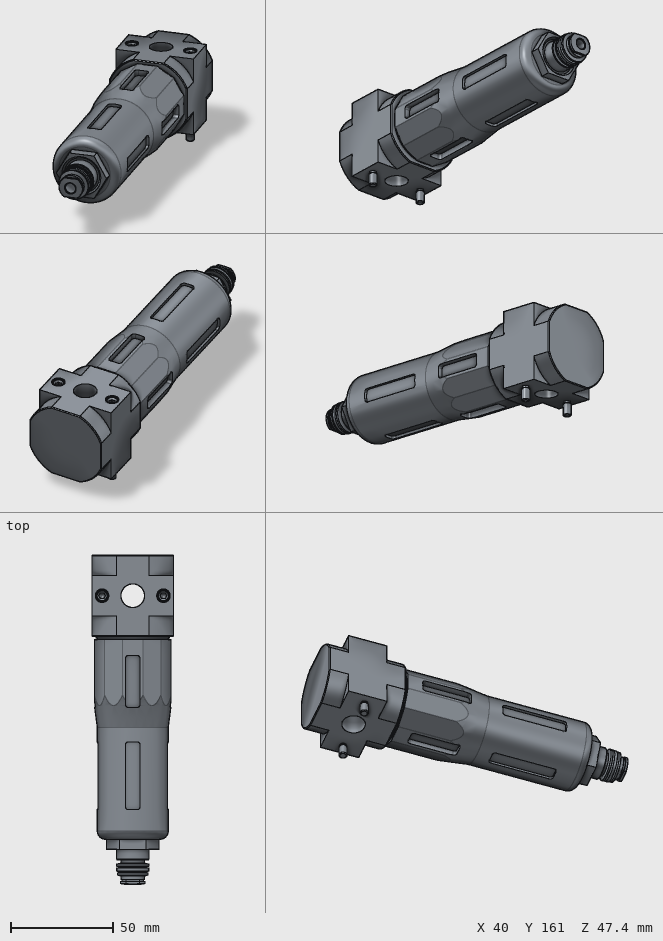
import cadquery as cq
import math


head_size = 40.0
head_half = head_size / 2
arm_half_length = 10.0
arm_half_width = 7.9
head_chamfer = 0.5
port_diameter = 11.5
lip_diameter = 36.0
lip_length = 0.6

screw_spacing = 30.0
counterbore_diameter = 6.0
counterbore_chamfer = 0.3
screw_head_diameter = 5.2
screw_head_height = 4.0
screw_head_drop = 0.5
shank_diameter = 3.2
thread_diameter = 4.0
thread_gap = 1.1
screw_tip_drop = 7.4
screw_tip_chamfer = 0.5
countersink_diameter = 4.8
socket_across_flats = 2.9
socket_depth = 2.3
socket_point_depth = 0.8

neck_diameter = 34.8
grip_sides = 12
grip_across_flats = 37.5
grip_corner_diameter = 38.8
bowl_diameter = 34.8
bowl_edge_radius = 4.2
neck_start = -(head_half + lip_length)
grip_start = -21.4
taper_start = -48.6
taper_end = -64.2
bowl_end = -119.0

window_count = 4
window_width = 7.1
window_floor_diameter = 31.9
window_corner_radius = 1.5
grip_window_start = -29.1
grip_window_end = -54.6
bowl_window_start = -71.3
bowl_window_end = -104.5

hex_across_flats = 22.4
hex_end = -123.8
recess_outer_diameter = 20.0
recess_floor_diameter = 18.0
recess_depth = 1.0
collar_diameter = 16.0
collar_end = -129.0
collar_chamfer = 0.3
core_diameter = 11.6
core_end = -138.5
ring_flank_length = 0.5
rings = [(-131.0, -132.0, 16.0), (-133.0, -134.5, 15.8), (-135.4, -136.4, 15.1)]
tip_neck_diameter = 10.6
tip_neck_flats = 8.4
tip_neck_end = -139.5
tip_diameter = 12.0
tip_flats = 10.0
tip_cone_rise = 0.5
overall_length = 161
drain_end = head_half - overall_length
drain_bore_diameter = 5.2
drain_mouth_diameter = 6.0
drain_bore_depth = 9.7


def disc(diameter, start, end):
    """Cylinder along Y, running from start towards -Y."""
    plane = cq.Workplane("XZ", origin=(0, start, 0))
    return plane.circle(diameter / 2).extrude(start - end)


def polygon_bar(sides, across_flats, start, end):
    """Regular prism along Y that has flats facing +Z and -Z."""
    across_corners = across_flats / math.cos(math.pi / sides)
    plane = cq.Workplane("XZ", origin=(0, start, 0))
    if sides % 4 == 0:
        plane = plane.transformed(rotate=(0, 0, 180 / sides))
    return plane.polygon(sides, across_corners).extrude(start - end)


def add_flats(body, across_flats):
    """Cut two flats facing +Z and -Z into a body around the Y axis."""
    slab = cq.Workplane("XY").box(head_size, 2 * overall_length, across_flats)
    return body.intersect(slab)


def make_screw_hole():
    """Counterbored hole on the Z axis that matches a screw."""
    shank = cq.Workplane("XY").circle(shank_diameter / 2).extrude(head_size)
    depth = screw_head_drop + screw_head_height
    bore = cq.Workplane("XY").circle(counterbore_diameter / 2).extrude(depth)
    mouth_radius = counterbore_diameter / 2 + counterbore_chamfer
    mouth = cq.Solid.makeCone(mouth_radius - counterbore_chamfer, mouth_radius, counterbore_chamfer,
                              pnt=cq.Vector(0, 0, head_size - counterbore_chamfer))
    hole = shank.union(bore.translate((0, 0, head_size - depth))).union(cq.Workplane(mouth))
    return hole.translate((0, 0, -head_half))


def make_head(screw_places):
    corner_diameter = 2 * math.hypot(head_half, arm_half_width)
    end_block = cq.Workplane("XY").box(head_size, head_size, head_size)
    round_bar = disc(corner_diameter, head_half, -head_half)
    end_block = end_block.intersect(round_bar).faces("<Y or >Y").chamfer(head_chamfer)
    arms = cq.Workplane("XY").box(head_size, 2 * arm_half_length, head_size)
    lip = disc(lip_diameter, -head_half, neck_start)
    port = cq.Workplane("XY").circle(port_diameter / 2).extrude(head_half, both=True)
    head = end_block.union(arms).union(lip).cut(port)
    for x in screw_places:
        head = head.cut(make_screw_hole().translate((x, 0, 0)))
    return head


def make_screw():
    """Socket screw on the Z axis with its head up."""
    head_top = head_half - screw_head_drop
    head_bottom = head_top - screw_head_height
    thread_top = -head_half - thread_gap
    tip = -head_half - screw_tip_drop
    outline = [
        (0, head_top),
        (screw_head_diameter / 2, head_top),
        (screw_head_diameter / 2, head_bottom),
        (shank_diameter / 2, head_bottom),
        (shank_diameter / 2, thread_top),
        (thread_diameter / 2, thread_top),
        (thread_diameter / 2, tip + screw_tip_chamfer),
        (thread_diameter / 2 - screw_tip_chamfer, tip),
        (0, tip),
    ]
    screw = cq.Workplane("XZ").polyline(outline).close().revolve(360, (0, 0, 0), (0, 1, 0))

    across_corners = socket_across_flats / math.cos(math.pi / 6)
    socket_floor = head_top - socket_depth
    socket_plane = cq.Workplane("XY", origin=(0, 0, socket_floor))
    socket = socket_plane.polygon(6, across_corners).extrude(socket_depth)
    countersink_radius = countersink_diameter / 2
    point_radius = socket_across_flats / 2
    countersink = cq.Solid.makeCone(0, countersink_radius, countersink_radius,
                                    pnt=cq.Vector(0, 0, head_top - countersink_radius))
    point = cq.Solid.makeCone(0, point_radius, socket_point_depth,
                              pnt=cq.Vector(0, 0, socket_floor - socket_point_depth))
    return screw.cut(socket).cut(cq.Workplane(countersink)).cut(cq.Workplane(point))


def make_grip_and_bowl():
    turned = (
        cq.Workplane("XY")
        .moveTo(0, grip_start)
        .lineTo(grip_corner_diameter / 2, grip_start)
        .lineTo(grip_corner_diameter / 2, taper_start)
        .lineTo(bowl_diameter / 2, taper_end)
        .lineTo(bowl_diameter / 2, bowl_end)
        .lineTo(0, bowl_end)
        .close()
        .revolve(360, (0, 0, 0), (0, 1, 0))
        .faces("<Y").edges().fillet(bowl_edge_radius)
    )
    return turned.intersect(polygon_bar(grip_sides, grip_across_flats, grip_start, bowl_end))


def make_window(start, end):
    """Rounded rectangular cutter on the +Z side that leaves a cylindrical floor."""
    cutter = (
        cq.Workplane("XY")
        .rect(window_width, start - end)
        .extrude(head_half)
        .edges("|Z").fillet(window_corner_radius)
        .translate((0, (start + end) / 2, 0))
    )
    return cutter.cut(disc(window_floor_diameter, start, end))


def make_ring(start, end, diameter):
    """Ring around the drain core with a cylindrical crest and sloped flanks."""
    core_radius = core_diameter / 2
    crest_radius = diameter / 2
    outline = [
        (0, start + ring_flank_length),
        (core_radius, start + ring_flank_length),
        (crest_radius, start),
        (crest_radius, end),
        (core_radius, end - ring_flank_length),
        (0, end - ring_flank_length),
    ]
    return cq.Workplane("XY").polyline(outline).close().revolve(360, (0, 0, 0), (0, 1, 0))


def make_drain():
    hexagon = polygon_bar(6, hex_across_flats, bowl_end, hex_end)
    recess = cq.Solid.makeCone(recess_floor_diameter / 2, recess_outer_diameter / 2, recess_depth,
                               pnt=cq.Vector(0, hex_end + recess_depth, 0), dir=cq.Vector(0, -1, 0))
    drain = hexagon.cut(cq.Workplane(recess))
    drain = drain.union(disc(collar_diameter, bowl_end, collar_end).faces("<Y").chamfer(collar_chamfer))
    drain = drain.union(disc(core_diameter, collar_end, core_end))
    for start, end, diameter in rings:
        drain = drain.union(make_ring(start, end, diameter))

    tip_neck = disc(tip_neck_diameter, core_end, tip_neck_end)
    cone_start = drain_end + tip_cone_rise
    cone = cq.Solid.makeCone(tip_diameter / 2, drain_mouth_diameter / 2, tip_cone_rise,
                             pnt=cq.Vector(0, cone_start, 0), dir=cq.Vector(0, -1, 0))
    tip = disc(tip_diameter, tip_neck_end, cone_start).union(cq.Workplane(cone))
    drain = drain.union(add_flats(tip_neck, tip_neck_flats)).union(add_flats(tip, tip_flats))

    bore = disc(drain_bore_diameter, drain_end + drain_bore_depth, drain_end)
    mouth_chamfer = (drain_mouth_diameter - drain_bore_diameter) / 2
    mouth = cq.Solid.makeCone(drain_bore_diameter / 2, drain_mouth_diameter / 2, mouth_chamfer,
                              pnt=cq.Vector(0, drain_end + mouth_chamfer, 0), dir=cq.Vector(0, -1, 0))
    return drain.cut(bore).cut(cq.Workplane(mouth))


def make_bowl():
    bowl = make_grip_and_bowl().union(disc(neck_diameter, neck_start, grip_start))
    for start, end in [(grip_window_start, grip_window_end), (bowl_window_start, bowl_window_end)]:
        window = make_window(start, end)
        for index in range(window_count):
            angle = index * 360 / window_count
            bowl = bowl.cut(window.rotate((0, 0, 0), (0, 1, 0), angle))
    return bowl.union(make_drain())


screw_places = [-screw_spacing / 2, screw_spacing / 2]

head = make_head(screw_places)
bowl = make_bowl()
screws = [make_screw().translate((x, 0, 0)) for x in screw_places]

result = cq.Compound.makeCompound([head.val(), bowl.val(), *[screw.val() for screw in screws]])